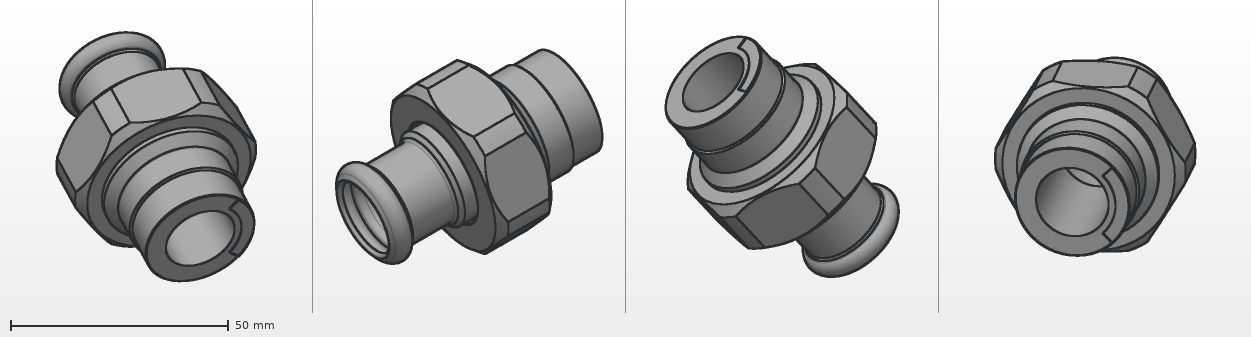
import cadquery as cq
import math

total_length = 59.0

bead_center_x = 3.25
bead_center_radius = 10.05
bead_outer_arc = 2.85
bead_wall = 1.3
bead_foot_radius = 22.9 / 2
face_outer_radius = 10.2
lip_radius = 18.7 / 2
lip_round = face_outer_radius - lip_radius
bead_cone_end_x = 5.85
bead_cone_end_radius = 11.05

groove_start_x = 1.2
groove_end_x = 4.2
groove_end_radius = 10.3
groove_cone_end_x = 4.6
groove_cone_end_radius = 9.9

tube_radius = 21.3 / 2
tube_start_x = 6.45
tube_end_x = 18.2
collar_fillet_end_x = 18.8
collar_fillet_end_radius = 11.4
collar_radius = 25.0 / 2
collar_start_x = 19.95

socket_radius = 18.3 / 2
socket_start_x = tube_start_x
flow_radius = 17.0 / 2

nut_start_x = 22.95
nut_end_x = 39.0
nut_across_flats = 41.0
nut_corner_radius = 44.65 / 2
nut_chamfer = 2.1
nut_lip_radius = 26.5 / 2
nut_mouth_radius = 26.9 / 2
nut_lip_end_x = 25.1

flange_radius = 30.25 / 2
seat_x = 28.6

thread_radius = 33.1 / 2
thread_end_x = 40.35
shoulder_radius = 28.0 / 2
shoulder_cone_end_x = 42.9
shoulder_start_x = 43.25
shoulder_cone_end_radius = 14.1
shoulder_end_x = 50.0
spigot_start_x = 50.3
spigot_radius = 26.9 / 2
spigot_end_radius = 26.5 / 2
spigot_chamfer_x = 58.6
spigot_end_x = 58.75
tab_inner_radius = 10.15
tab_half_angle = math.radians(45)


def revolve_about_x(profile):
    """Close an (x, radius) profile and turn it about the X axis."""
    return profile.close().revolve(360, (0, 0, 0), (1, 0, 0))


def arc_point(radius, angle):
    """Point on the plane at the given polar angle in radians."""
    return (radius * math.cos(angle), radius * math.sin(angle))


def make_press_tail():
    """Press socket with its sealing bead, tube, collar and clamped flange."""
    bead_half_chord = math.sqrt(bead_outer_arc**2 - (bead_foot_radius - bead_center_radius) ** 2)
    groove_arc = bead_outer_arc - bead_wall
    round_mid = lip_round * (1 - math.sqrt(0.5))
    profile = (
        cq.Workplane("XY")
        .moveTo(0, face_outer_radius)
        .lineTo(bead_center_x - bead_half_chord, bead_foot_radius)
        .threePointArc(
            (bead_center_x, bead_center_radius + bead_outer_arc),
            (bead_center_x + bead_half_chord, bead_foot_radius),
        )
        .lineTo(bead_cone_end_x, bead_cone_end_radius)
        .lineTo(tube_start_x, tube_radius)
        .lineTo(tube_end_x, tube_radius)
        .tangentArcPoint((collar_fillet_end_x, collar_fillet_end_radius), relative=False)
        .lineTo(collar_start_x, collar_radius)
        .lineTo(nut_lip_end_x, collar_radius)
        .lineTo(nut_lip_end_x, flange_radius)
        .lineTo(seat_x, flange_radius)
        .lineTo(seat_x, flow_radius)
        .lineTo(collar_start_x, flow_radius)
        .lineTo(tube_end_x, socket_radius)
        .lineTo(socket_start_x, socket_radius)
        .tangentArcPoint((groove_cone_end_x, groove_cone_end_radius), relative=False)
        .lineTo(groove_end_x, groove_end_radius)
        .threePointArc((bead_center_x, bead_center_radius + groove_arc), (groove_start_x, lip_radius))
        .lineTo(lip_round, lip_radius)
        .threePointArc((round_mid, lip_radius + round_mid), (0, face_outer_radius))
    )
    return revolve_about_x(profile)


def make_nut():
    """Hexagon nut with turned corners, chamfered ends and a stepped bore."""
    length = nut_end_x - nut_start_x
    across_corners = nut_across_flats / math.cos(math.pi / 6)
    hexagon = cq.Workplane("YZ", origin=(nut_start_x, 0, 0)).polygon(6, across_corners).extrude(length)
    turned_blank = (
        cq.Workplane("YZ", origin=(nut_start_x, 0, 0))
        .circle(nut_corner_radius)
        .extrude(length)
        .faces("<X or >X")
        .chamfer(nut_chamfer)
    )
    mouth_depth = nut_mouth_radius - nut_lip_radius
    bore = revolve_about_x(
        cq.Workplane("XY")
        .moveTo(nut_start_x, 0)
        .lineTo(nut_start_x, nut_mouth_radius)
        .lineTo(nut_start_x + mouth_depth, nut_lip_radius)
        .lineTo(nut_lip_end_x, nut_lip_radius)
        .lineTo(nut_lip_end_x, thread_radius)
        .lineTo(nut_end_x, thread_radius)
        .lineTo(nut_end_x, 0)
    )
    return hexagon.intersect(turned_blank).cut(bore)


def make_end_tab():
    """Quarter-ring tab on the +Y side of the outlet end."""
    return (
        cq.Workplane("YZ", origin=(spigot_end_x, 0, 0))
        .moveTo(*arc_point(tab_inner_radius, -tab_half_angle))
        .lineTo(*arc_point(spigot_end_radius, -tab_half_angle))
        .threePointArc((spigot_end_radius, 0), arc_point(spigot_end_radius, tab_half_angle))
        .lineTo(*arc_point(tab_inner_radius, tab_half_angle))
        .threePointArc((tab_inner_radius, 0), arc_point(tab_inner_radius, -tab_half_angle))
        .close()
        .extrude(total_length - spigot_end_x)
    )


def make_outlet():
    """Threaded seat, conical neck, shoulder and spigot around the flow bore."""
    profile = (
        cq.Workplane("XY")
        .moveTo(seat_x, flow_radius)
        .lineTo(seat_x, thread_radius)
        .lineTo(thread_end_x, thread_radius)
        .lineTo(shoulder_cone_end_x, shoulder_cone_end_radius)
        .lineTo(shoulder_start_x, shoulder_radius)
        .lineTo(shoulder_end_x, shoulder_radius)
        .lineTo(spigot_start_x, spigot_radius)
        .lineTo(spigot_chamfer_x, spigot_radius)
        .lineTo(spigot_end_x, spigot_end_radius)
        .lineTo(spigot_end_x, flow_radius)
    )
    return revolve_about_x(profile).union(make_end_tab())


press_tail = make_press_tail()
nut = make_nut()
outlet = make_outlet()

result = cq.Compound.makeCompound([press_tail.val(), nut.val(), outlet.val()])